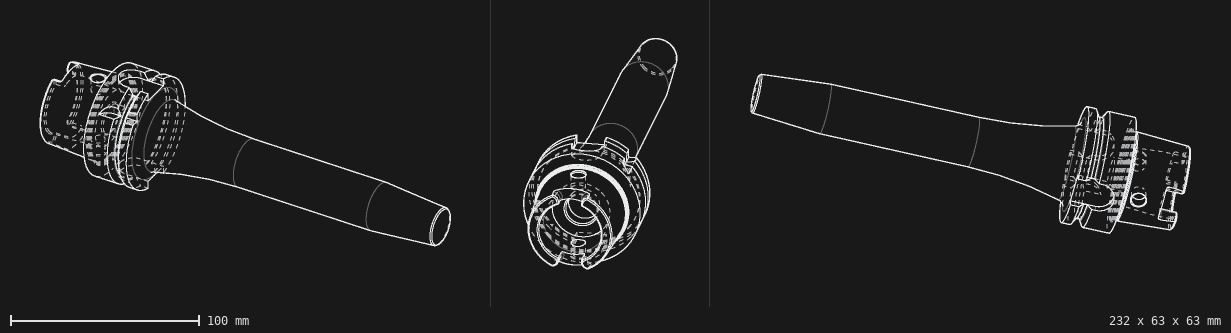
import math

import cadquery as cq


TAPER_LENGTH = 32.0
TAPER_BASE_RADIUS = 24.25
TAPER_END_RADIUS = 22.7
TAPER_END_CHAMFER = 0.8
TAPER_END_BEVEL = 0.7

RELIEF_START = -2.6
RELIEF_END = -0.7
RELIEF_BEVEL = 0.6
RELIEF_DEPTH = 0.3
FACE_GROOVE_RADIUS = 25.4
FACE_GROOVE_BEVEL = 0.4
FACE_GROOVE_DEPTH = 0.6

MOUTH_RADIUS = 16.9
MOUTH_DEPTH = 13.2
CAVITY_FLOOR_RADIUS = 15.6
CAVITY_DEPTH = 30.0
PIT_MOUTH_RADIUS = 9.2
PIT_RADIUS = 8.4
PIT_DEPTH = 8.0

CROSS_HOLE_X = -9.2
CROSS_HOLE_RADIUS = 3.8
CROSS_HOLE_CHAMFER = 0.6

DRIVE_SLOT_WIDTH = 12.5
UPPER_DRIVE_SLOT_DEPTH = 5.9
LOWER_DRIVE_SLOT_DEPTH = 9.9
DRIVE_SLOT_FLOOR_FILLET = 1.2
DRIVE_SLOT_FLARE_RADIUS = 3.8
DRIVE_SLOT_FLARE_START = 16.9

FLANGE_RADIUS = 31.5
FLANGE_WIDTH = 26.0
GROOVE_FRONT = 14.4
GROOVE_BACK = 21.3
GROOVE_FLOOR_RADIUS = 27.6
GROOVE_FLOOR_WIDTH = 1.9
GROOVE_STEP = 0.4
GROOVE_CENTER = (GROOVE_FRONT + GROOVE_BACK) / 2

KEYWAY_WIDTH = 16.0
KEYWAY_START = 4.4
KEYWAY_FLOOR = 26.0
CORNER_NOTCH_OFFSET = 20.0
CORNER_NOTCH_START = 4.6
CORNER_NOTCH_RADIUS = 7.5

NECK_FILLET = 5.6
NECK_RADIUS = 200.0
NECK_END = 81.0
SHANK_RADIUS = 13.5
SHANK_END = 162.0
NOSE_END = 200.0
NOSE_HALF_ANGLE = 4.5
NOSE_CHAMFER_LENGTH = 0.8
NOSE_CHAMFER_DEPTH = 0.6


def turned_body():
    """Solid of revolution: taper, flange with gripping groove, curved neck, shank and nose."""
    half_floor = GROOVE_FLOOR_WIDTH / 2
    step_radius = GROOVE_FLOOR_RADIUS + GROOVE_STEP
    relief_radius = TAPER_BASE_RADIUS - RELIEF_DEPTH

    neck_center_radius = SHANK_RADIUS + NECK_RADIUS
    fillet_x = FLANGE_WIDTH + NECK_FILLET
    center_distance = NECK_RADIUS - NECK_FILLET
    dx = NECK_END - fillet_x
    dr = math.sqrt(center_distance**2 - dx**2)
    fillet_center_radius = neck_center_radius - dr
    reach = NECK_RADIUS / center_distance
    fillet_end = (NECK_END - dx * reach, neck_center_radius - dr * reach)
    fillet_half_turn = math.atan2(dr, dx) / 2
    fillet_middle = (
        fillet_x - NECK_FILLET * math.cos(fillet_half_turn),
        fillet_center_radius - NECK_FILLET * math.sin(fillet_half_turn),
    )
    neck_middle_x = (fillet_end[0] + NECK_END) / 2
    neck_middle_radius = neck_center_radius - math.sqrt(NECK_RADIUS**2 - (NECK_END - neck_middle_x) ** 2)

    nose_slope = math.tan(math.radians(NOSE_HALF_ANGLE))
    nose_edge = NOSE_END - NOSE_CHAMFER_LENGTH
    nose_radius = SHANK_RADIUS - (nose_edge - SHANK_END) * nose_slope

    return (
        cq.Workplane("XY")
        .moveTo(-TAPER_LENGTH, 0)
        .lineTo(-TAPER_LENGTH, TAPER_END_RADIUS - TAPER_END_BEVEL)
        .lineTo(TAPER_END_CHAMFER - TAPER_LENGTH, TAPER_END_RADIUS)
        .lineTo(RELIEF_START, TAPER_BASE_RADIUS)
        .lineTo(RELIEF_START + RELIEF_BEVEL, relief_radius)
        .lineTo(RELIEF_END - RELIEF_BEVEL, relief_radius)
        .lineTo(RELIEF_END, TAPER_BASE_RADIUS)
        .lineTo(0, TAPER_BASE_RADIUS)
        .lineTo(FACE_GROOVE_DEPTH, TAPER_BASE_RADIUS + FACE_GROOVE_BEVEL)
        .lineTo(FACE_GROOVE_DEPTH, FACE_GROOVE_RADIUS - FACE_GROOVE_BEVEL)
        .lineTo(0, FACE_GROOVE_RADIUS)
        .lineTo(0, FLANGE_RADIUS)
        .lineTo(GROOVE_FRONT, FLANGE_RADIUS)
        .lineTo(GROOVE_CENTER - half_floor - GROOVE_STEP, step_radius)
        .lineTo(GROOVE_CENTER - half_floor, GROOVE_FLOOR_RADIUS)
        .lineTo(GROOVE_CENTER + half_floor, GROOVE_FLOOR_RADIUS)
        .lineTo(GROOVE_CENTER + half_floor + GROOVE_STEP, step_radius)
        .lineTo(GROOVE_BACK, FLANGE_RADIUS)
        .lineTo(FLANGE_WIDTH, FLANGE_RADIUS)
        .lineTo(FLANGE_WIDTH, fillet_center_radius)
        .threePointArc(fillet_middle, fillet_end)
        .threePointArc((neck_middle_x, neck_middle_radius), (NECK_END, SHANK_RADIUS))
        .lineTo(SHANK_END, SHANK_RADIUS)
        .lineTo(nose_edge, nose_radius)
        .lineTo(NOSE_END, nose_radius - NOSE_CHAMFER_DEPTH)
        .lineTo(NOSE_END, 0)
        .close()
        .revolve(360, (0, 0, 0), (1, 0, 0))
    )


def cavity():
    """Stepped recess bored into the taper along the axis."""
    mouth_end = MOUTH_DEPTH - TAPER_LENGTH
    floor = CAVITY_DEPTH - TAPER_LENGTH
    pit_chamfer = PIT_MOUTH_RADIUS - PIT_RADIUS
    return (
        cq.Workplane("XY")
        .moveTo(-TAPER_LENGTH, 0)
        .lineTo(-TAPER_LENGTH, MOUTH_RADIUS + TAPER_END_BEVEL)
        .lineTo(TAPER_END_CHAMFER - TAPER_LENGTH, MOUTH_RADIUS)
        .lineTo(mouth_end, MOUTH_RADIUS)
        .lineTo(floor, CAVITY_FLOOR_RADIUS)
        .lineTo(floor, PIT_MOUTH_RADIUS)
        .lineTo(floor + pit_chamfer, PIT_RADIUS)
        .lineTo(floor + PIT_DEPTH, PIT_RADIUS)
        .lineTo(floor + PIT_DEPTH, 0)
        .close()
        .revolve(360, (0, 0, 0), (1, 0, 0))
    )


def cross_hole():
    """Hole through both taper walls along Z, chamfered at the outside."""
    taper_slope = (TAPER_BASE_RADIUS - TAPER_END_RADIUS) / TAPER_LENGTH
    rim_height = TAPER_BASE_RADIUS + CROSS_HOLE_X * taper_slope
    rim_radius = CROSS_HOLE_RADIUS + CROSS_HOLE_CHAMFER
    upper_half = (
        cq.Workplane("XZ")
        .moveTo(0, 0)
        .lineTo(CROSS_HOLE_RADIUS, 0)
        .lineTo(CROSS_HOLE_RADIUS, rim_height - CROSS_HOLE_CHAMFER)
        .lineTo(rim_radius, rim_height)
        .lineTo(rim_radius, FLANGE_RADIUS)
        .lineTo(0, FLANGE_RADIUS)
        .close()
        .revolve(360, (0, 0, 0), (0, 1, 0))
    )
    return upper_half.union(upper_half.mirror("XY")).translate((CROSS_HOLE_X, 0, 0))


def drive_slot_outline(workplane, widening):
    """Cross-section of a drive slot, opened outwards by `widening` on both sides."""
    half = DRIVE_SLOT_WIDTH / 2 + widening
    flare = DRIVE_SLOT_FLARE_RADIUS - widening
    flare_middle = DRIVE_SLOT_FLARE_START + flare * math.sqrt(0.5)
    flare_end = DRIVE_SLOT_FLARE_START + flare
    wide = half + flare
    middle = wide - flare * math.sqrt(0.5)
    return (
        workplane.moveTo(-half, 0)
        .lineTo(half, 0)
        .lineTo(half, DRIVE_SLOT_FLARE_START)
        .threePointArc((middle, flare_middle), (wide, flare_end))
        .lineTo(wide, FLANGE_RADIUS)
        .lineTo(-wide, FLANGE_RADIUS)
        .lineTo(-wide, flare_end)
        .threePointArc((-middle, flare_middle), (-half, DRIVE_SLOT_FLARE_START))
        .close()
    )


def drive_slot(depth):
    """Slot into the taper end on the +Z side, its walls rounded off outwards and its mouth chamfered."""
    end_plane = cq.Workplane("YZ", origin=(-TAPER_LENGTH, 0, 0))
    slot = (
        drive_slot_outline(end_plane, 0)
        .extrude(depth)
        .faces(">X")
        .edges("|Z")
        .fillet(DRIVE_SLOT_FLOOR_FILLET)
    )
    mouth_outline = drive_slot_outline(end_plane, TAPER_END_BEVEL)
    mouth = drive_slot_outline(mouth_outline.workplane(offset=TAPER_END_CHAMFER), 0).loft(ruled=True)
    return slot.union(mouth)


def keyway():
    """Round-ended keyway in the +Z side of the flange, open at its back."""
    radius = KEYWAY_WIDTH / 2
    height = FLANGE_RADIUS - KEYWAY_FLOOR
    center_x = KEYWAY_START + radius
    length = FLANGE_WIDTH - center_x
    plane = cq.Workplane("XY", origin=(center_x, 0, KEYWAY_FLOOR))
    straight = plane.center(length / 2, 0).rect(length, KEYWAY_WIDTH).extrude(height)
    return plane.circle(radius).extrude(height).union(straight)


def corner_notch():
    """Notch in the flange corner between -Y and +Z, with a rounded front end."""
    height = FLANGE_RADIUS - CORNER_NOTCH_OFFSET
    center_x = CORNER_NOTCH_START + CORNER_NOTCH_RADIUS
    length = FLANGE_WIDTH - center_x
    width = 2 * CORNER_NOTCH_RADIUS
    center_y = -CORNER_NOTCH_OFFSET - CORNER_NOTCH_RADIUS
    plane = cq.Workplane("XY", origin=(center_x, center_y, CORNER_NOTCH_OFFSET))
    straight = plane.center(length / 2, 0).rect(length, width).extrude(height)
    return plane.circle(CORNER_NOTCH_RADIUS).extrude(height).union(straight)


result = (
    turned_body()
    .cut(cavity())
    .cut(drive_slot(UPPER_DRIVE_SLOT_DEPTH))
    .cut(drive_slot(LOWER_DRIVE_SLOT_DEPTH).mirror("XY"))
    .cut(cross_hole())
    .cut(keyway())
    .cut(keyway().mirror("XY"))
    .cut(corner_notch())
)